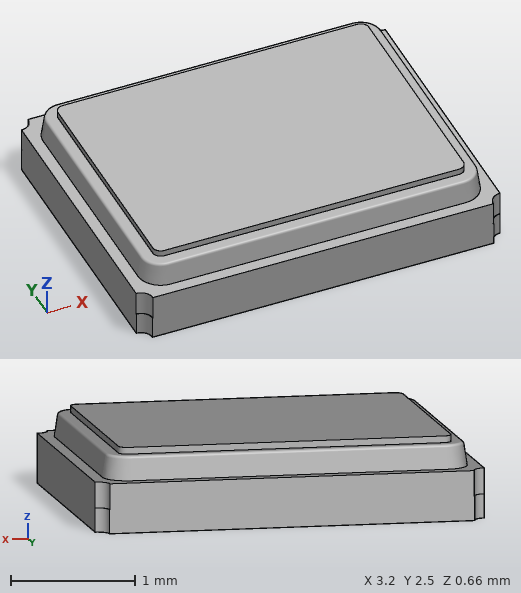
import cadquery as cq
import math

LENGTH = 3.2
WIDTH = 2.5
HEIGHT = 0.66

BASE_HEIGHT = 0.41
CASTELLATION_STEP_HEIGHT = 0.2
LOWER_CASTELLATION_RADIUS = 0.1
UPPER_CASTELLATION_RADIUS = 0.102

LID_TOP = 0.605
LID_INSET = 0.102
LID_TOP_INSET = 0.13
LID_RIM_FILLET = 0.025

PANEL_INSET = 0.235

CORNER_CENTER_INSET = 0.305


def rounded_rectangle(inset, z):
    """Rectangle set in from the base sides, rounded about the shared corner centres."""
    outline = cq.Sketch().rect(LENGTH - 2 * inset, WIDTH - 2 * inset)
    outline = outline.vertices().fillet(CORNER_CENTER_INSET - inset)
    return cq.Workplane("XY").workplane(offset=z).placeSketch(outline)


def castellations(radius, bottom, top):
    """Upright cylinders on the four base corners, used as cutters."""
    corners = cq.Workplane("XY").workplane(offset=bottom).rect(LENGTH, WIDTH, forConstruction=True)
    return corners.vertices().circle(radius).extrude(top - bottom)


def make_base():
    base = cq.Workplane("XY").box(LENGTH, WIDTH, BASE_HEIGHT, centered=(True, True, False))
    base = base.cut(castellations(LOWER_CASTELLATION_RADIUS, 0, CASTELLATION_STEP_HEIGHT))
    return base.cut(castellations(UPPER_CASTELLATION_RADIUS, CASTELLATION_STEP_HEIGHT, BASE_HEIGHT))


def make_lid():
    lid_height = LID_TOP - BASE_HEIGHT
    draft = math.degrees(math.atan((LID_TOP_INSET - LID_INSET) / lid_height))
    lid = rounded_rectangle(LID_INSET, BASE_HEIGHT).extrude(lid_height, taper=draft)
    return lid.faces(">Z").edges().fillet(LID_RIM_FILLET)


def make_panel():
    return rounded_rectangle(PANEL_INSET, LID_TOP).extrude(HEIGHT - LID_TOP)


result = make_base().union(make_lid()).union(make_panel())